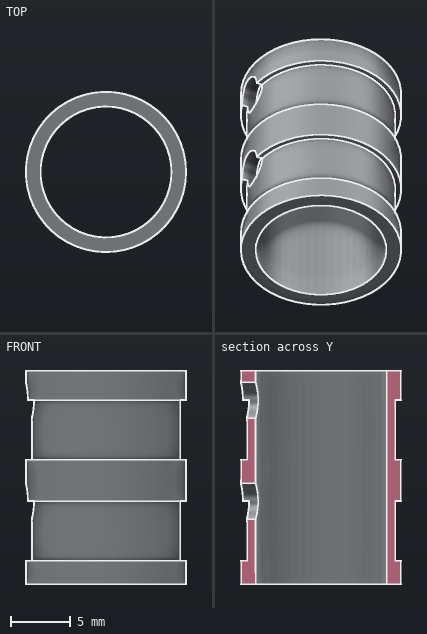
import cadquery as cq

collar_diameter = 13.5
groove_diameter = 12.5
bore_diameter = 11.0
port_diameter = 3.0

bottom_collar_height = 2.0
groove_height = 5.0
middle_collar_height = 3.5
top_collar_height = 2.5

lower_groove_base = bottom_collar_height
lower_groove_top = lower_groove_base + groove_height
upper_groove_base = lower_groove_top + middle_collar_height
upper_groove_top = upper_groove_base + groove_height
sleeve_height = upper_groove_top + top_collar_height


def make_sleeve():
    """Plain tube standing on the XY plane, with its axis along Z."""
    return (
        cq.Workplane("XY")
        .circle(collar_diameter / 2)
        .circle(bore_diameter / 2)
        .extrude(sleeve_height)
    )


def make_groove(base_height):
    """Ring removed from the outside of the tube to leave a groove."""
    return (
        cq.Workplane("XY")
        .workplane(offset=base_height)
        .circle(collar_diameter / 2)
        .circle(groove_diameter / 2)
        .extrude(groove_height)
    )


def make_port(center_height):
    """Radial cylinder that runs from the axis out through the -X wall only."""
    return (
        cq.Workplane("YZ")
        .center(0, center_height)
        .circle(port_diameter / 2)
        .extrude(-collar_diameter / 2)
    )


result = make_sleeve()

for groove_base in (lower_groove_base, upper_groove_base):
    result = result.cut(make_groove(groove_base))

for groove_top in (lower_groove_top, upper_groove_top):
    result = result.cut(make_port(groove_top))